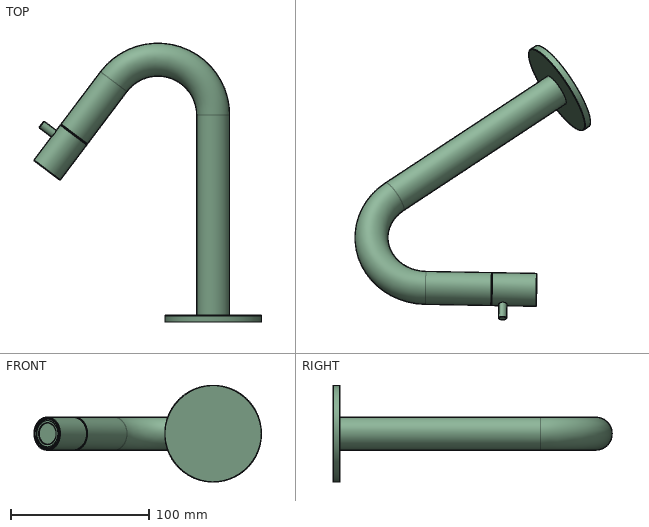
import cadquery as cq
import math

flange_diameter = 70.0
flange_thickness = 5.0
flange_chamfer = 0.5

spout_diameter = 24.0
spout_radius = spout_diameter / 2
overall_depth = 201.5
bend_radius = 40.0
bend_angle = 143
bend_start = overall_depth - bend_radius - spout_radius
arm_length = 47.8

handle_length = 32.5
joint_chamfer = 0.5
outlet_chamfer = 0.5
bore_chamfer = 0.6
lever_diameter = 6
lever_chamfer = 0.5
lever_reach = 23.2
lever_from_outlet = 24.2

aerator_diameter = 21.0
aerator_length = 10
aerator_recess = 0.6
aerator_face_diameter = 15.3
aerator_face_depth = 0.5
aerator_chamfer = 1.0
aerator_face_chamfer = 0.3

bend_radians = math.radians(bend_angle)
bend_end = (
    bend_radius * (math.cos(bend_radians) - 1),
    bend_start + bend_radius * math.sin(bend_radians),
)
bend_middle = (
    bend_radius * (math.cos(bend_radians / 2) - 1),
    bend_start + bend_radius * math.sin(bend_radians / 2),
)
outlet_direction = (-math.sin(bend_radians), math.cos(bend_radians))
lever_direction = (math.cos(bend_radians), math.sin(bend_radians), 0)


def arm_point(distance):
    """Point on the arm centreline at a distance past the end of the bend."""
    return tuple(start + distance * step for start, step in zip(bend_end, outlet_direction))


def plane_across_arm(distance):
    """Plane square to the arm, with its normal pointing out of the outlet."""
    return cq.Plane(origin=(*arm_point(distance), 0), xDir=(0, 0, 1), normal=(*outlet_direction, 0))


outlet_distance = arm_length + handle_length
aerator_front = outlet_distance - aerator_recess
aerator_back = aerator_front - aerator_length


def make_flange():
    back_plane = cq.Workplane("XZ")
    disc = back_plane.circle(flange_diameter / 2).extrude(-flange_thickness)
    return disc.faces(">Y").chamfer(flange_chamfer)


def make_spout():
    path = (
        cq.Workplane("XY")
        .moveTo(0, flange_thickness)
        .lineTo(0, bend_start)
        .threePointArc(bend_middle, bend_end)
        .lineTo(*arm_point(arm_length))
    )
    spout = cq.Workplane("XZ", origin=(0, flange_thickness, 0)).circle(spout_radius).sweep(path)
    return spout.faces("<X").chamfer(joint_chamfer)


def make_lever():
    lever_base = arm_point(outlet_distance - lever_from_outlet)
    lever_plane = cq.Plane(origin=(*lever_base, 0), xDir=(0, 0, 1), normal=lever_direction)
    pin = cq.Workplane(lever_plane).circle(lever_diameter / 2).extrude(lever_reach)
    lever_tip = cq.selectors.DirectionMinMaxSelector(cq.Vector(*lever_direction))
    return pin.faces(lever_tip).chamfer(lever_chamfer)


def make_handle():
    sleeve = cq.Workplane(plane_across_arm(arm_length)).circle(spout_radius).extrude(handle_length)
    sleeve = sleeve.faces("<Y").chamfer(outlet_chamfer)
    sleeve = sleeve.faces(">Y").chamfer(joint_chamfer)
    aerator_bore = (
        cq.Workplane(plane_across_arm(aerator_back))
        .circle(aerator_diameter / 2)
        .extrude(aerator_length + aerator_recess)
    )
    sleeve = sleeve.cut(aerator_bore)
    outlet_rim = sleeve.faces("<Y").edges(cq.selectors.RadiusNthSelector(0))
    return outlet_rim.chamfer(bore_chamfer).union(make_lever().cut(aerator_bore))


def make_aerator():
    insert = cq.Workplane(plane_across_arm(aerator_back)).circle(aerator_diameter / 2).extrude(aerator_length)
    insert = insert.faces("<Y").chamfer(aerator_chamfer)
    face_recess = (
        cq.Workplane(plane_across_arm(aerator_front - aerator_face_depth))
        .circle(aerator_face_diameter / 2)
        .extrude(aerator_face_depth)
    )
    insert = insert.cut(face_recess)
    face_rim = insert.faces("<Y").edges(cq.selectors.RadiusNthSelector(0))
    return face_rim.chamfer(aerator_face_chamfer)


flange = make_flange()
spout = make_spout()
handle = make_handle()
aerator = make_aerator()

result = cq.Compound.makeCompound([flange.val(), spout.val(), handle.val(), aerator.val()])